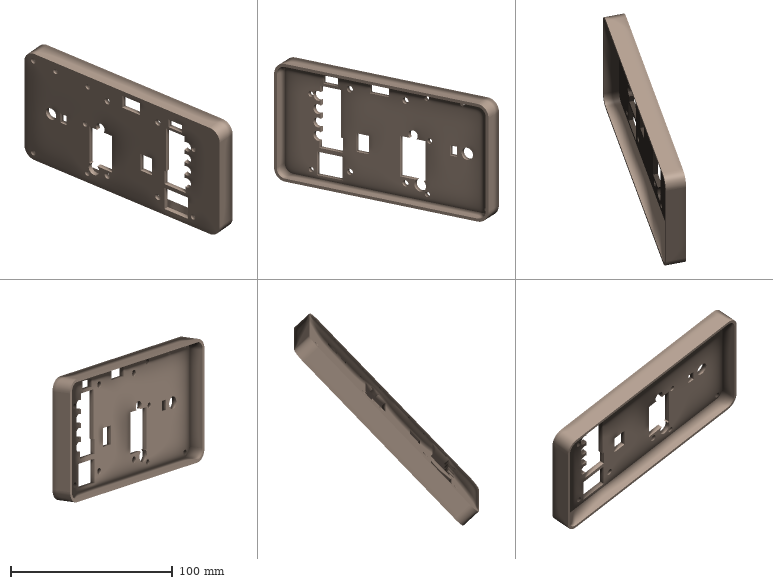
import cadquery as cq

LENGTH = 153.4
HEIGHT = 78.4
DEPTH = 13.0
CORNER_RADIUS = 7.8
PLATE_THICKNESS = 3.0
WALL_THICKNESS = 2.0

MOUNT_DIAMETER = 4.1
MOUNT_SPACING_X = 39.7
MOUNT_SPACING_Z = 55.0
MOUNT_CENTER = (8.3, -0.6)

SCREW_DIAMETER = 3.5
SCREW_HOLES = [
    (-69.8, 33.7),
    (-52.3, 32.8),
    (-26.8, 31.5),
    (-29.0, 3.2),
    (-27.3, -32.5),
    (-69.8, -34.2),
    (56.1, 18.3),
    (55.8, -31.9),
]

ROUND_OPENING_DIAMETER = 8.1
ROUND_OPENING_CENTER = (-55.8, 0.0)

WINDOWS = [
    (0.2, 14.0, 27.0, 35.7),
    (36.7, 47.2, 27.0, 32.5),
    (-48.3, -43.5, -3.4, 3.4),
    (14.5, 23.6, -13.8, -1.5),
    (33.5, 51.8, -34.8, -19.2),
]

TALL_WINDOW = (-25.8, -7.8, -24.2, 2.8)
TOP_RELIEF_DIAMETER = 6.6
TOP_RELIEF_CENTER = (-17.0, 4.9)
BOTTOM_RELIEF_DIAMETER = 8.3
BOTTOM_RELIEF_CENTER = (-22.1, -27.5)

STEPPED_WINDOW_UPPER = (34.7, 49.1, -6.6, 25.2)
STEPPED_WINDOW_LOWER = (33.3, 50.0, -16.4, -6.6)
LOBE_DIAMETER = 6.6
LOBE_COUNT = 4
LOBE_PITCH = 8.9
LOBE_X = 51.0
TOP_LOBE_Z = 18.1


def rounded_block(length, height, radius, front, back):
    """Block between the planes Y = front and Y = back, its four long corners rounded."""
    block = cq.Workplane("XY").box(length, back - front, height, centered=(True, False, True))
    return block.translate((0, front, 0)).edges("|Y").fillet(radius)


def round_cutter(diameter, centers):
    """Cylinders through the full depth at the given (x, z) centres."""
    return cq.Workplane("XZ").pushPoints(centers).circle(diameter / 2).extrude(-DEPTH)


def window_cutter(left, right, bottom, top):
    """Rectangular prism through the full depth."""
    center = ((left + right) / 2, (bottom + top) / 2)
    return cq.Workplane("XZ").center(*center).rect(right - left, top - bottom).extrude(-DEPTH)


tray = rounded_block(LENGTH, HEIGHT, CORNER_RADIUS, 0, DEPTH)
cavity = rounded_block(
    LENGTH - 2 * WALL_THICKNESS,
    HEIGHT - 2 * WALL_THICKNESS,
    CORNER_RADIUS - WALL_THICKNESS,
    PLATE_THICKNESS,
    DEPTH,
)
result = tray.cut(cavity)

mount_holes = [
    (MOUNT_CENTER[0] + side_x * MOUNT_SPACING_X / 2, MOUNT_CENTER[1] + side_z * MOUNT_SPACING_Z / 2)
    for side_x in (-1, 1)
    for side_z in (-1, 1)
]
result = result.cut(round_cutter(MOUNT_DIAMETER, mount_holes))
result = result.cut(round_cutter(SCREW_DIAMETER, SCREW_HOLES))
result = result.cut(round_cutter(ROUND_OPENING_DIAMETER, [ROUND_OPENING_CENTER]))

for window in WINDOWS + [TALL_WINDOW, STEPPED_WINDOW_UPPER, STEPPED_WINDOW_LOWER]:
    result = result.cut(window_cutter(*window))

result = result.cut(round_cutter(TOP_RELIEF_DIAMETER, [TOP_RELIEF_CENTER]))
result = result.cut(round_cutter(BOTTOM_RELIEF_DIAMETER, [BOTTOM_RELIEF_CENTER]))

lobes = [(LOBE_X, TOP_LOBE_Z - i * LOBE_PITCH) for i in range(LOBE_COUNT)]
result = result.cut(round_cutter(LOBE_DIAMETER, lobes))